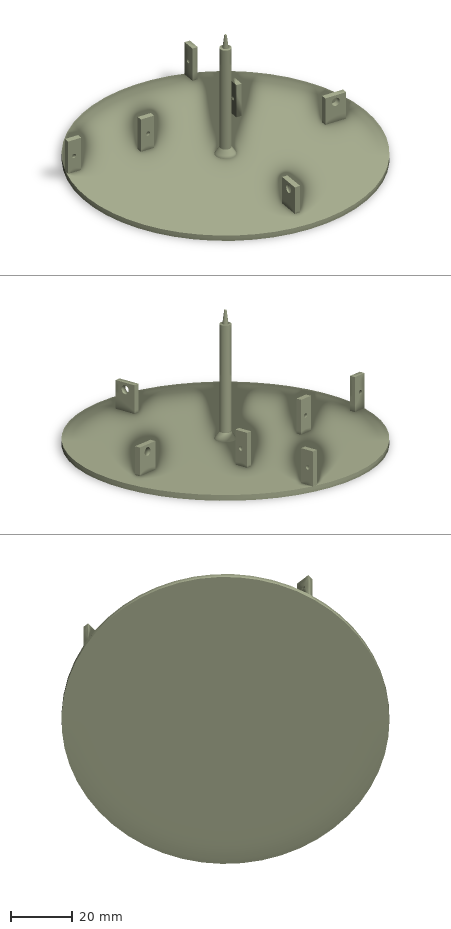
import cadquery as cq

disc_diameter = 107.31
disc_thickness = 2.0

total_height = 46.93
foot_diameter = 7.35
foot_height = 2.55
shaft_diameter = 4.0
shaft_height = 40.0
pin_base_diameter = 2.0
pin_tip_diameter = 0.8
tip_rounding = 0.3

tab_thickness = 2.0
row_angle = 90.0
small_tab_width = 5.0
small_tab_height = 12.2
small_hole_diameter = 1.5
small_hole_height = small_tab_height / 2
small_tab_offset = 16.15
inner_tab_start = 18.2
outer_tab_start = 46.0
inner_hole_distance = 20.5
outer_hole_distance = 48.8

large_tab_width = 8.0
large_tab_height = 10.0
large_hole_diameter = 3.0
large_hole_height = 7.5
large_tab_distance = 41.5


def cylinder(diameter, bottom, top):
    """Vertical cylinder on the disc axis between two heights."""
    return cq.Workplane("XY").workplane(offset=bottom).circle(diameter / 2).extrude(top - bottom)


def cone(bottom_diameter, top_diameter, bottom, top):
    """Vertical truncated cone on the disc axis between two heights."""
    return (
        cq.Workplane("XY")
        .workplane(offset=bottom)
        .circle(bottom_diameter / 2)
        .workplane(offset=top - bottom)
        .circle(top_diameter / 2)
        .loft()
    )


def make_post():
    """Turned post: conical foot, straight shaft and tapered pin with a rounded tip."""
    foot_top = disc_thickness + foot_height
    shaft_top = disc_thickness + shaft_height
    foot = cone(foot_diameter, shaft_diameter, disc_thickness, foot_top)
    shaft = cylinder(shaft_diameter, foot_top, shaft_top)
    pin = cone(pin_base_diameter, pin_tip_diameter, shaft_top, total_height)
    pin = pin.faces(">Z").edges().fillet(tip_rounding)
    return foot.union(shaft).union(pin)


def make_tab(center_x, center_y, width, height, hole_x, hole_height, hole_diameter):
    """Upright plate lying along X with a round hole through its thickness."""
    plate = (
        cq.Workplane("XY")
        .box(width, tab_thickness, height, centered=(True, True, False))
        .translate((center_x, center_y, disc_thickness))
    )
    hole = (
        cq.Workplane("XZ", origin=(hole_x, center_y, disc_thickness + hole_height))
        .circle(hole_diameter / 2)
        .extrude(tab_thickness, both=True)
    )
    return plate.cut(hole)


def make_tab_row():
    """Tabs along the X direction: two small ones toward -X, a large one toward +X."""
    row = make_tab(
        large_tab_distance, 0, large_tab_width, large_tab_height,
        large_tab_distance, large_hole_height, large_hole_diameter,
    )
    small_tabs = ((inner_tab_start, inner_hole_distance), (outer_tab_start, outer_hole_distance))
    for start, hole_distance in small_tabs:
        row = row.union(make_tab(
            -start - small_tab_width / 2, small_tab_offset, small_tab_width, small_tab_height,
            -hole_distance, small_hole_height, small_hole_diameter,
        ))
    return row


disc = cylinder(disc_diameter, 0, disc_thickness)
tab_row = make_tab_row()
turned_row = tab_row.rotate((0, 0, 0), (0, 0, 1), row_angle)
result = disc.union(tab_row).union(turned_row).union(make_post())